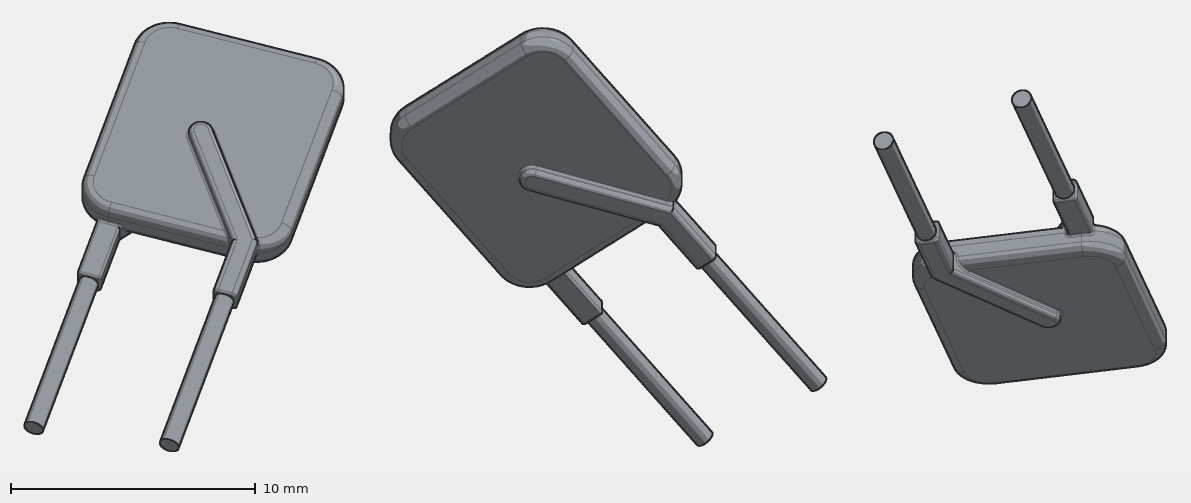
import cadquery as cq
import math

body_width = 8.9
body_length = 10.0
body_thickness = 1.4
body_corner_radius = 1.5
body_edge_fillet = 0.45

overall_length = 20.4
overall_height = 2.2

lead_offset = 2.9
coating_width = 1.0
coating_height = 1.0
sleeve_end_y = -7.8
bend_y = -4.98
rib_end_x = -0.43
rib_end_y = -0.29
outer_edge_fillet = 0.2
inner_edge_fillet = 0.1
sleeve_end_fillet = 0.1
junction_fillet = 0.1

wire_diameter = 0.82
wire_end_y = body_length / 2 - overall_length

coating_top_z = overall_height / 2
coating_bottom_z = coating_top_z - coating_height
coating_middle_z = coating_top_z - coating_height / 2

half_width = coating_width / 2
rib_angle = math.atan2(bend_y - rib_end_y, lead_offset - rib_end_x)
side_x = -math.sin(rib_angle) * half_width
side_y = math.cos(rib_angle) * half_width
tip_x = rib_end_x - math.cos(rib_angle) * half_width
tip_y = rib_end_y - math.sin(rib_angle) * half_width

turn_angle = rib_angle + math.pi / 2
mitre_rise = half_width * math.tan(turn_angle / 2)


def make_body():
    block = cq.Workplane("XY").box(body_width, body_length, body_thickness)
    block = block.edges("|Z").fillet(body_corner_radius)
    return block.faces("<Z or >Z").edges().fillet(body_edge_fillet)


def make_coating():
    """Bent bar of the upper lead: rounded tip, diagonal rib and straight sleeve."""
    bar = (
        cq.Workplane("XY", origin=(0, 0, coating_bottom_z))
        .moveTo(lead_offset + half_width, sleeve_end_y)
        .lineTo(lead_offset + half_width, bend_y + mitre_rise)
        .lineTo(rib_end_x + side_x, rib_end_y + side_y)
        .threePointArc((tip_x, tip_y), (rib_end_x - side_x, rib_end_y - side_y))
        .lineTo(lead_offset - half_width, bend_y - mitre_rise)
        .lineTo(lead_offset - half_width, sleeve_end_y)
        .close()
        .extrude(coating_height)
    )
    bar = bar.faces(">Z").edges("not <Y").fillet(outer_edge_fillet)
    bar = bar.faces("<Z").edges("not <Y").fillet(inner_edge_fillet)
    return bar.faces("<Y").edges().fillet(sleeve_end_fillet)


def make_wire():
    return (
        cq.Workplane("XZ", origin=(lead_offset, sleeve_end_y, coating_middle_z))
        .circle(wire_diameter / 2)
        .extrude(sleeve_end_y - wire_end_y)
    )


def add_upper_lead(part):
    part = part.union(make_coating())
    rib_tip = cq.selectors.NearestToPointSelector((tip_x, tip_y, body_thickness / 2))
    part = part.edges(rib_tip).fillet(junction_fillet)
    return part.union(make_wire())


def turn_over(part):
    return part.rotate((0, 0, 0), (0, 1, 0), 180)


result = make_body()
for lead in range(2):
    result = turn_over(add_upper_lead(result))